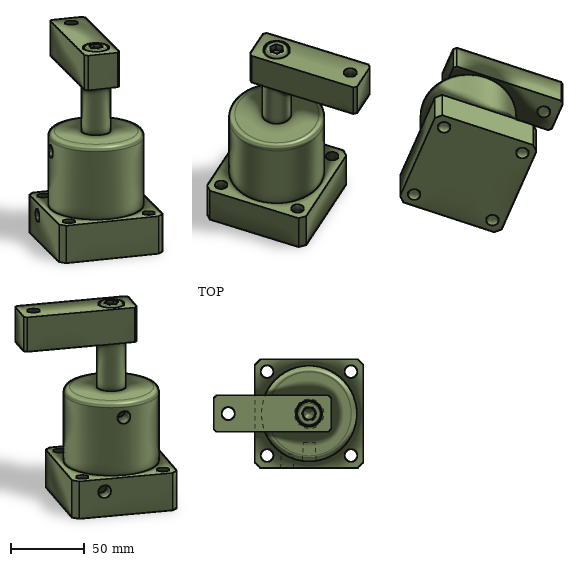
import cadquery as cq
import math

total_height = 140.5

base_side = 74.0
base_height = 27.0
base_chamfer = 4.0
mount_spacing = 57.0
mount_hole_dia = 8.5

barrel_dia = 65.0
barrel_top = 80.0
barrel_fillet = 4.0

port_dia = 9.0
port_floor_dia = 8.0
port_depth = 9.8
barrel_port_z = 68.4
barrel_mouth_depth = 3.2
base_port_x = -15.0
base_port_z = 18.0

rod_dia = 20.0

arm_length = 80.0
arm_width = 25.0
arm_bottom = 114.8
arm_top = 139.7
arm_chamfer = 2.0
arm_overhang = 15.0
arm_hole_dia = 8.7
arm_hole_inset = 10.0
counterbore_dia = 18.0

head_dia = 16.0
head_height = 10.0
head_fillet = 1.0
shank_dia = 10.0
shank_engagement = 14.0
socket_across_flats = 8.3
socket_depth = 5.0
socket_cone_depth = 2.2

head_seat = total_height - head_height
barrel_taper_start = barrel_mouth_depth - barrel_dia / 2
shank_end = arm_bottom - shank_engagement
socket_across_corners = socket_across_flats / math.cos(math.pi / 6)
arm_tip = arm_overhang - arm_length


def cylinder(diameter, bottom, top):
    """Upright cylinder on the rod axis."""
    return cq.Workplane("XY").workplane(offset=bottom).circle(diameter / 2).extrude(top - bottom)


def port(x, z, taper_start):
    """Cutter for a blind tapered port running in +Y from Y = taper_start."""
    taper = cq.Solid.makeCone(
        port_dia / 2, port_floor_dia / 2, port_depth, pnt=(x, taper_start, z), dir=(0, 1, 0)
    )
    return cq.Workplane("XY").add(taper)


def make_housing():
    """Square base with a round barrel, four mounting holes and two tapered ports.

    The barrel port has a straight mouth through the curved wall before its taper starts.
    """
    base = cq.Workplane("XY").rect(base_side, base_side).extrude(base_height)
    base = base.edges("|Z").chamfer(base_chamfer)
    barrel = cylinder(barrel_dia, base_height, barrel_top).faces(">Z").edges().fillet(barrel_fillet)
    mount_holes = (
        cq.Workplane("XY")
        .rect(mount_spacing, mount_spacing, forConstruction=True)
        .vertices()
        .circle(mount_hole_dia / 2)
        .extrude(base_height)
    )
    housing = base.union(barrel).cut(mount_holes)
    barrel_port_mouth = (
        cq.Workplane("XZ", origin=(0, barrel_taper_start, barrel_port_z))
        .circle(port_dia / 2)
        .extrude(barrel_mouth_depth)
    )
    housing = housing.cut(barrel_port_mouth).cut(port(0, barrel_port_z, barrel_taper_start))
    return housing.cut(port(base_port_x, base_port_z, -base_side / 2))


def make_rod():
    """Rod from the barrel to the arm, with a blind hole for the screw shank in its top."""
    return cylinder(rod_dia, barrel_top, arm_bottom).cut(cylinder(shank_dia, shank_end, arm_bottom))


def make_arm():
    """Clamp arm with a hole near its tip and a counterbored hole on the rod axis."""
    arm = (
        cq.Workplane("XY")
        .workplane(offset=arm_bottom)
        .center((arm_tip + arm_overhang) / 2, 0)
        .rect(arm_length, arm_width)
        .extrude(arm_top - arm_bottom)
        .edges("|Z")
        .chamfer(arm_chamfer)
    )
    tip_hole = cylinder(arm_hole_dia, arm_bottom, arm_top).translate((arm_tip + arm_hole_inset, 0, 0))
    shank_hole = cylinder(shank_dia, arm_bottom, arm_top)
    counterbore = cylinder(counterbore_dia, head_seat, arm_top)
    return arm.cut(tip_hole).cut(shank_hole).cut(counterbore)


def make_screw():
    """Socket head screw: rounded head, shank, and a hexagon socket with a conical bottom."""
    head = cylinder(head_dia, head_seat, total_height).faces(">Z").edges().fillet(head_fillet)
    shank = cylinder(shank_dia, shank_end, head_seat)
    socket_floor = total_height - socket_depth
    hexagon = (
        cq.Workplane("XY")
        .workplane(offset=socket_floor)
        .polygon(6, socket_across_corners)
        .extrude(socket_depth)
    )
    cone = cq.Workplane("XY").add(
        cq.Solid.makeCone(
            socket_across_flats / 2, 0, socket_cone_depth, pnt=(0, 0, socket_floor), dir=(0, 0, -1)
        )
    )
    return head.union(shank).cut(hexagon).cut(cone)


housing = make_housing()
rod = make_rod()
arm = make_arm()
screw = make_screw()

result = cq.Compound.makeCompound([housing.val(), rod.val(), arm.val(), screw.val()])